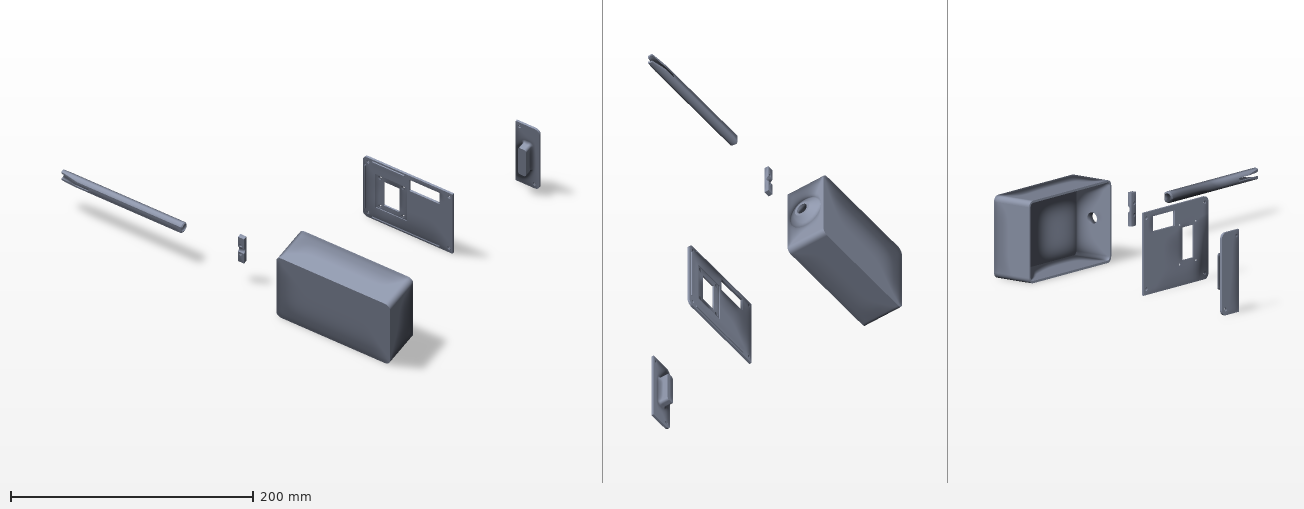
import cadquery as cq

overall_length = 328.0
housing_length = 110.0
housing_height = 70.0
cavity_depth = 35.0
wall = 1.9
housing_depth = cavity_depth + wall
corner_radius = 5.0
housing_left = overall_length - housing_length

gland_length = 5.0
gland_base_diameter = 31.5
gland_tip_diameter = 14.5
gland_bore_diameter = 10.0

cover_thickness = 2.0
explode_step = 100.0
socket_cover_width = 23.0
main_cover_width = housing_length - socket_cover_width
socket_cover_left = overall_length - socket_cover_width
main_cover_front = explode_step
socket_cover_front = 2 * explode_step
cover_hole_diameter = 3.0
cover_hole_inset = 5.0
joint_hole_inset = 3.5

strip_size = 1.0
side_strip_length = 51.2
long_strip_length = 65.3
short_strip_length = 31.0
strip_start = 9.2

seat_width = 30.2
seat_height = 39.5
seat_depth = 0.5
seat_center_x = housing_left + 27.5
display_width = 15.0
display_height = 28.0
seat_hole_spacing_x = 22.3
seat_hole_spacing_z = 33.5
seat_hole_diameter = 2.0
seat_counterbore_diameter = 4.0
seat_counterbore_depth = 0.5 + seat_depth

window_width = 29.2
window_height = 13.0
window_center_x = housing_left + 59.7
window_center_z = 23.5

socket_width = 8.0
socket_height = 30.8
socket_length = 9.0
socket_corner_radius = 2.3
socket_root_fillet = 2.0

rod_length = 118.0
rod_diameter = 10.0
rod_axis_y = -19.5
rod_flat_offset = 3.5
rod_end_chamfer = 1.0
rod_bore_diameter = 6.5
fork_slot_width = 3.0
fork_slot_length = 28.0
tip_thickness = 4.0
tip_taper_length = 16.5

clamp_width = 6.0
clamp_height = 28.5
clamp_thickness = 4.0
clamp_left = 168.5
clamp_back_y = -12.8
clamp_hole_diameter = 3.0
clamp_hole_spacing = 10.0
clamp_hole_x = clamp_left + 2.3
clamp_groove_diameter = 6.0
clamp_groove_depth = 2.0


def box_between(x_range, y_range, z_range):
    """Box spanning the given (low, high) ranges along X, Y and Z."""
    size = [high - low for low, high in (x_range, y_range, z_range)]
    low_corner = (x_range[0], y_range[0], z_range[0])
    return cq.Workplane("XY").box(*size, centered=False).translate(low_corner)


def centered_range(center, size):
    return (center - size / 2, center + size / 2)


def holes_along_y(points, diameter, start_y, depth):
    """Cylinders at the (x, z) points, running from start_y toward +Y."""
    cutters = cq.Workplane("XZ", origin=(0, start_y, 0)).pushPoints(points)
    return cutters.circle(diameter / 2).extrude(-depth)


def make_housing():
    x_range = (housing_left, overall_length)
    z_range = centered_range(0, housing_height)
    body = box_between(x_range, (-housing_depth, 0), z_range).edges("|Y").fillet(corner_radius)
    cavity = box_between(
        (housing_left + wall, overall_length - wall),
        (-cavity_depth, 0),
        centered_range(0, housing_height - 2 * wall),
    )
    cavity = cavity.edges("|Y").fillet(corner_radius - wall)

    gland_plane = cq.Workplane("YZ", origin=(housing_left, -housing_depth / 2, 0))
    gland = (
        gland_plane.circle(gland_base_diameter / 2)
        .workplane(offset=-gland_length)
        .circle(gland_tip_diameter / 2)
        .loft()
    )
    bore_length = gland_length + wall
    bore = (
        gland_plane.workplane(offset=-gland_length)
        .circle(gland_bore_diameter / 2)
        .extrude(bore_length)
    )
    return body.union(gland).cut(cavity).cut(bore)


def make_locating_strips():
    """Three strips that fit just inside the housing walls: left, bottom and top."""
    y_range = (main_cover_front - strip_size, main_cover_front)
    side_x = housing_left + wall
    side = box_between((side_x, side_x + strip_size), y_range, centered_range(0, side_strip_length))
    start_x = housing_left + strip_start
    outer_z = housing_height / 2 - wall
    bottom = box_between(
        (start_x, start_x + long_strip_length), y_range, (-outer_z, -outer_z + strip_size)
    )
    top = box_between(
        (start_x, start_x + short_strip_length), y_range, (outer_z - strip_size, outer_z)
    )
    return side, bottom, top


def cut_display_seat(cover):
    recess = box_between(
        centered_range(seat_center_x, seat_width),
        (main_cover_front, main_cover_front + seat_depth),
        centered_range(0, seat_height),
    )
    opening = box_between(
        centered_range(seat_center_x, display_width),
        (main_cover_front, main_cover_front + cover_thickness),
        centered_range(0, display_height),
    )
    hole_points = [
        (seat_center_x + x_side * seat_hole_spacing_x / 2, z_side * seat_hole_spacing_z / 2)
        for x_side in (-1, 1)
        for z_side in (-1, 1)
    ]
    holes = holes_along_y(hole_points, seat_hole_diameter, main_cover_front, cover_thickness)
    counterbores = holes_along_y(
        hole_points, seat_counterbore_diameter, main_cover_front, seat_counterbore_depth
    )
    return cover.cut(recess).cut(opening).cut(holes).cut(counterbores)


def make_main_cover():
    y_range = (main_cover_front, main_cover_front + cover_thickness)
    cover = box_between(
        (housing_left, housing_left + main_cover_width), y_range, centered_range(0, housing_height)
    )
    cover = cover.edges("|Y and <X").fillet(corner_radius)
    for strip in make_locating_strips():
        cover = cover.union(strip)
    cover = cut_display_seat(cover)
    window = box_between(
        centered_range(window_center_x, window_width),
        y_range,
        centered_range(window_center_z, window_height),
    )
    hole_x = (housing_left + cover_hole_inset, socket_cover_left - joint_hole_inset)
    hole_z = housing_height / 2 - cover_hole_inset
    hole_points = [(x, z) for x in hole_x for z in (-hole_z, hole_z)]
    holes = holes_along_y(hole_points, cover_hole_diameter, main_cover_front, cover_thickness)
    return cover.cut(window).cut(holes)


def make_socket_cover():
    y_range = (socket_cover_front, socket_cover_front + cover_thickness)
    cover = box_between(
        (socket_cover_left, overall_length), y_range, centered_range(0, housing_height)
    )
    cover = cover.edges("|Y and >X").fillet(corner_radius)
    center_x = socket_cover_left + socket_cover_width / 2
    socket = box_between(
        centered_range(center_x, socket_width),
        (socket_cover_front - socket_length, socket_cover_front),
        centered_range(0, socket_height),
    )
    socket = socket.edges("|Y").fillet(socket_corner_radius)
    cover = cover.union(socket)
    root_margin = 0.3
    root_edges = cq.selectors.BoxSelector(
        (center_x - socket_width, socket_cover_front - root_margin, -socket_height / 2 - root_margin),
        (center_x + socket_width, socket_cover_front + root_margin, socket_height / 2 + root_margin),
    )
    cover = cover.edges(root_edges).fillet(socket_root_fillet)

    hole_z = housing_height / 2 - cover_hole_inset
    hole_points = [
        (socket_cover_left + joint_hole_inset, hole_z),
        (overall_length - cover_hole_inset, -hole_z),
    ]
    holes = holes_along_y(hole_points, cover_hole_diameter, socket_cover_front, cover_thickness)
    return cover.cut(holes)


def make_probe_rod():
    rod_radius = rod_diameter / 2
    rod = cq.Workplane("YZ").circle(rod_radius).extrude(rod_length)
    flat_cut = box_between(
        (0, rod_length), (-rod_diameter, -rod_flat_offset), centered_range(0, 2 * rod_diameter)
    )
    rod = rod.cut(flat_cut).faces(">X").chamfer(rod_end_chamfer)

    tip_center_y = (rod_radius - rod_flat_offset) / 2
    tip_low_y, tip_high_y = centered_range(tip_center_y, tip_thickness)
    outline = (
        cq.Workplane("XY", origin=(0, 0, -rod_radius))
        .moveTo(0, tip_low_y)
        .lineTo(tip_taper_length, -rod_flat_offset)
        .lineTo(rod_length, -rod_flat_offset)
        .lineTo(rod_length, rod_radius)
        .lineTo(tip_taper_length, rod_radius)
        .lineTo(0, tip_high_y)
        .close()
        .extrude(rod_diameter)
    )
    slot = box_between(
        (0, fork_slot_length),
        centered_range(0, 2 * rod_diameter),
        centered_range(0, fork_slot_width),
    )
    bore = cq.Workplane("YZ").circle(rod_bore_diameter / 2).extrude(rod_length)
    return rod.intersect(outline).cut(slot).cut(bore).translate((0, rod_axis_y, 0))


def make_cable_clamp():
    front_y = clamp_back_y - clamp_thickness
    x_range = (clamp_left, clamp_left + clamp_width)
    clamp = box_between(x_range, (front_y, clamp_back_y), centered_range(0, clamp_height))
    groove_axis_y = front_y + clamp_groove_depth - clamp_groove_diameter / 2
    groove = (
        cq.Workplane("YZ", origin=(clamp_left, groove_axis_y, 0))
        .circle(clamp_groove_diameter / 2)
        .extrude(clamp_width)
    )
    hole_points = [(clamp_hole_x, side * clamp_hole_spacing / 2) for side in (-1, 1)]
    holes = holes_along_y(hole_points, clamp_hole_diameter, front_y, clamp_thickness)
    return clamp.cut(groove).cut(holes)


housing = make_housing()
main_cover = make_main_cover()
socket_cover = make_socket_cover()
probe_rod = make_probe_rod()
cable_clamp = make_cable_clamp()

bodies = [housing, main_cover, socket_cover, probe_rod, cable_clamp]
result = cq.Compound.makeCompound([body.val() for body in bodies])